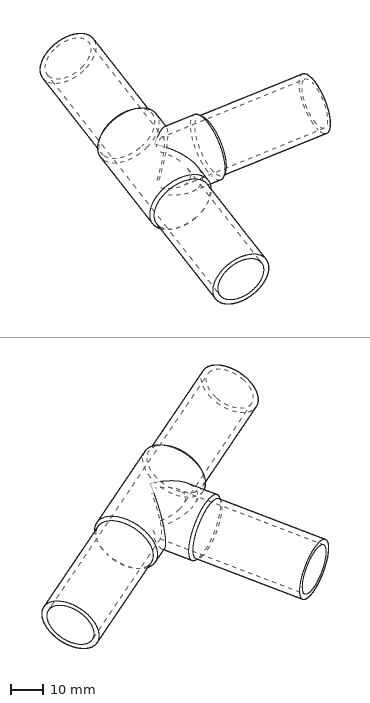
import cadquery as cq

run_length = 109.0
branch_length = 57.0
pipe_diameter = 20.0
body_diameter = 21.9
bore_diameter = 16.4
run_spigot = 37.1
branch_spigot = 37.1
body_chamfer = 1.0

body_half_length = run_length / 2 - run_spigot
branch_body_length = branch_length - branch_spigot


def run_cylinder(diameter, length):
    """Cylinder along X, centred on the origin."""
    return cq.Workplane("YZ").circle(diameter / 2).extrude(length / 2, both=True)


def branch_cylinder(diameter, length):
    """Cylinder from the run axis towards +Y."""
    return cq.Workplane("XZ").circle(diameter / 2).extrude(-length)


run_body = run_cylinder(body_diameter, 2 * body_half_length).edges("%CIRCLE").chamfer(body_chamfer)
branch_body = branch_cylinder(body_diameter, branch_body_length).faces(">Y").chamfer(body_chamfer)

run_pipe = run_cylinder(pipe_diameter, run_length)
branch_pipe = branch_cylinder(pipe_diameter, branch_length)

run_bore = run_cylinder(bore_diameter, run_length)
branch_bore = branch_cylinder(bore_diameter, branch_length)

outside = run_body.union(branch_body).union(run_pipe).union(branch_pipe)
result = outside.cut(run_bore).cut(branch_bore)